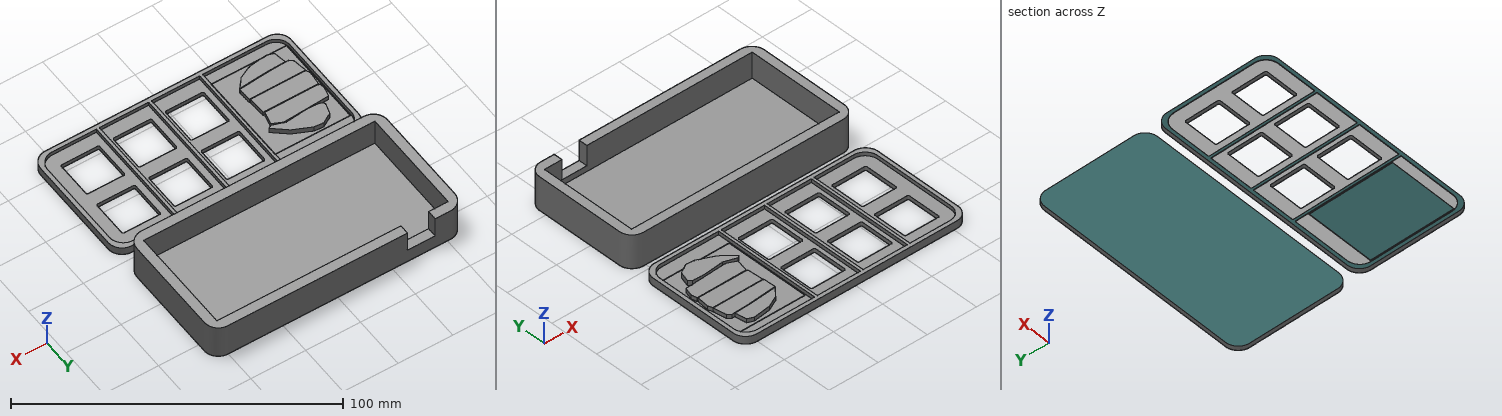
import cadquery as cq

LENGTH = 91.4
WIDTH = 46.0
CORNER_RADIUS = 5.1

CASE_HEIGHT = 13.0
CASE_WALL = 3.5
CASE_FLOOR = 3.0
CASE_SHIFT_X = -0.84
BODY_GAP = 4.01

CABLE_NOTCH_WIDTH = 10.1
CABLE_NOTCH_INSET = 10.6
CABLE_NOTCH_SILL = 5.2

PLATE_HEIGHT = 3.0
PLATE_FLOOR = 1.6
PLATE_RIM = 1.5

KEY_PITCH = 19.05
KEY_OPENING = 14.0
KEY_CORNER_RADIUS = 0.5
KEY_COLUMNS = 3
KEY_ROWS = 2
KEY_MARGIN = 6.35

RIB_THICKNESS = 1.1
RIB_TO_NEXT_KEY = 9.55
RIB_AFTER_KEY = 9.1

PANEL_LENGTH = 27.6
PANEL_WIDTH = 34.0
PANEL_GAP = 0.35
PANEL_SHIFT_Y = -0.7
PANEL_HEIGHT = 0.2

RELIEF_TOP = 3.7
RELIEF_LOW_TOP = 3.3

FAN_STRIP = [
    (-9.4, 10.2), (-8.2, 14.2), (-4.6, 16.3), (-1.2, 16.0), (5.3, 13.0),
    (10.3, 8.8), (9.3, 8.1), (4.5, 9.7), (-3.5, 8.9), (-8.2, 9.1),
]
UPPER_STRIP = [(-12.0, 8.0), (5.0, 9.0), (8.6, 7.3), (7.5, 2.5), (-12.5, 2.4), (-12.9, 4.6)]
MIDDLE_STRIP = [(-12.3, 2.2), (7.9, 2.2), (8.2, -4.2), (-12.2, -4.3), (-12.8, -2.6)]
LOWER_STRIP = [(-12.2, -4.5), (8.4, -4.4), (8.6, -9.3), (-3.0, -10.3), (-10.2, -10.6), (-11.4, -9.6)]
BASE_STRIP = [
    (-9.0, -10.7), (-2.5, -10.5), (8.4, -9.6), (5.5, -13.0),
    (1.0, -15.2), (-5.9, -16.1), (-8.3, -15.2),
]

PLATE_LEFT = -LENGTH / 2
FIRST_KEY_X = LENGTH / 2 - KEY_MARGIN - KEY_OPENING / 2 - (KEY_COLUMNS - 1) * KEY_PITCH
FIRST_KEY_Y = -WIDTH / 2 + KEY_MARGIN + KEY_OPENING / 2
CASE_CENTRE_Y = WIDTH + BODY_GAP


def rounded_block(length, width, height, radius):
    return cq.Workplane("XY").rect(length, width).extrude(height).edges("|Z").fillet(radius)


def make_case():
    outer = rounded_block(LENGTH, WIDTH, CASE_HEIGHT, CORNER_RADIUS)
    cavity = (
        cq.Workplane("XY", origin=(0, 0, CASE_FLOOR))
        .rect(LENGTH - 2 * CASE_WALL, WIDTH - 2 * CASE_WALL)
        .extrude(CASE_HEIGHT - CASE_FLOOR)
    )
    notch_x = -LENGTH / 2 + CABLE_NOTCH_INSET + CABLE_NOTCH_WIDTH / 2
    notch_y = WIDTH / 2 - CASE_WALL / 2
    cable_notch = (
        cq.Workplane("XY", origin=(notch_x, notch_y, CABLE_NOTCH_SILL))
        .rect(CABLE_NOTCH_WIDTH, CASE_WALL)
        .extrude(CASE_HEIGHT - CABLE_NOTCH_SILL)
    )
    return outer.cut(cavity).cut(cable_notch).translate((CASE_SHIFT_X, CASE_CENTRE_Y, 0))


def make_ribs():
    height = PLATE_HEIGHT - PLATE_FLOOR
    rib_places = [FIRST_KEY_X - RIB_TO_NEXT_KEY]
    for column in range(KEY_COLUMNS - 1):
        rib_places.append(FIRST_KEY_X + column * KEY_PITCH + RIB_AFTER_KEY)
    return (
        cq.Workplane("XY", origin=(0, 0, PLATE_FLOOR))
        .pushPoints([(x, 0) for x in rib_places])
        .rect(RIB_THICKNESS, WIDTH - 2 * PLATE_RIM)
        .extrude(height)
    )


def make_key_openings():
    places = []
    for column in range(KEY_COLUMNS):
        for row in range(KEY_ROWS):
            places.append((FIRST_KEY_X + column * KEY_PITCH, FIRST_KEY_Y + row * KEY_PITCH))
    return (
        cq.Workplane("XY")
        .pushPoints(places)
        .rect(KEY_OPENING, KEY_OPENING)
        .extrude(PLATE_FLOOR)
        .edges("|Z")
        .fillet(KEY_CORNER_RADIUS)
    )


def make_relief_panel():
    panel_x = PLATE_LEFT + PLATE_RIM + PANEL_GAP + PANEL_LENGTH / 2
    panel = (
        cq.Workplane("XY", origin=(panel_x, PANEL_SHIFT_Y, PLATE_FLOOR))
        .rect(PANEL_LENGTH, PANEL_WIDTH)
        .extrude(PANEL_HEIGHT)
    )
    strips = [
        (FAN_STRIP, RELIEF_TOP),
        (UPPER_STRIP, RELIEF_LOW_TOP),
        (MIDDLE_STRIP, RELIEF_LOW_TOP),
        (LOWER_STRIP, RELIEF_LOW_TOP),
        (BASE_STRIP, RELIEF_LOW_TOP),
    ]
    for outline, top in strips:
        strip = (
            cq.Workplane("XY", origin=(panel_x, PANEL_SHIFT_Y, PLATE_FLOOR))
            .polyline(outline)
            .close()
            .extrude(top - PLATE_FLOOR)
        )
        panel = panel.union(strip)
    return panel


def make_plate():
    outer = rounded_block(LENGTH, WIDTH, PLATE_HEIGHT, CORNER_RADIUS)
    tray = rounded_block(
        LENGTH - 2 * PLATE_RIM,
        WIDTH - 2 * PLATE_RIM,
        PLATE_HEIGHT - PLATE_FLOOR,
        CORNER_RADIUS,
    ).translate((0, 0, PLATE_FLOOR))
    plate = outer.cut(tray).union(make_ribs()).cut(make_key_openings())
    return plate.union(make_relief_panel())


case = make_case()
plate = make_plate()
result = cq.Compound.makeCompound([case.val(), plate.val()])